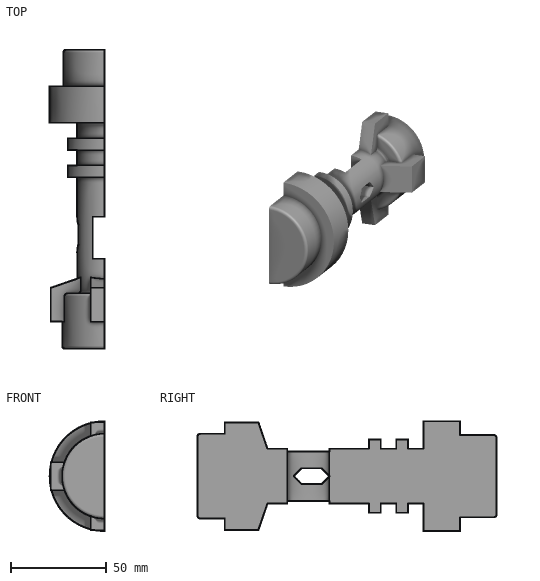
import cadquery as cq
import math

LENGTH = 156.8
EDGE_ROUND = 1.5

SHAFT_RADIUS = 14.5
HEAD_RADIUS = 22.3
HEAD_LENGTH = 29.0

END_RADIUS = 21.6
FLANGE_RADIUS = 28.9
FLANGE_WIDTH = 19.3
FLANGE_FRONT = 118.4

RING_RADIUS = 19.3
RING_WIDTH = 6.3
RING_FRONTS = (89.8, 104.1)

ARM_WIDTH = 14.6
ARM_REACH = 28.2
ARM_ROOT_RADIUS = 11.0
ARM_FRONT = 14.3
ARM_SHOULDER = 32.0
ARM_REAR = 38.0

SLOT_DEPTH = 6.1
SLOT_FRONT = 47.2
SLOT_REAR = 69.1

WINDOW_FRONT = 50.5
WINDOW_REAR = SLOT_REAR
WINDOW_HEIGHT = 8.2
WINDOW_TIP = 4.0


def disc(radius, front, length):
    """Cylinder on the Y axis, starting at Y = front."""
    return cq.Workplane("XZ", origin=(0, front, 0)).circle(radius).extrude(-length)


def make_root_round():
    """Collar with a concave outside, blending the shaft into the back of the head."""
    collar_rear = HEAD_LENGTH + EDGE_ROUND
    collar_radius = SHAFT_RADIUS + EDGE_ROUND
    arc_offset = EDGE_ROUND * (1 - math.sqrt(0.5))
    return (
        cq.Workplane("XY")
        .moveTo(0, HEAD_LENGTH)
        .lineTo(-collar_radius, HEAD_LENGTH)
        .threePointArc(
            (-SHAFT_RADIUS - arc_offset, HEAD_LENGTH + arc_offset),
            (-SHAFT_RADIUS, collar_rear),
        )
        .lineTo(0, collar_rear)
        .close()
        .revolve(360, (0, 0, 0), (0, 1, 0))
    )


def make_turned_body():
    shaft = disc(SHAFT_RADIUS, 0, LENGTH)
    head = disc(HEAD_RADIUS, 0, HEAD_LENGTH).edges("%CIRCLE").fillet(EDGE_ROUND)
    end = disc(END_RADIUS, FLANGE_FRONT, LENGTH - FLANGE_FRONT).faces(">Y").edges().fillet(EDGE_ROUND)
    body = shaft.union(head).union(end)
    body = body.union(make_root_round())
    body = body.union(disc(FLANGE_RADIUS, FLANGE_FRONT, FLANGE_WIDTH))
    for ring_front in RING_FRONTS:
        body = body.union(disc(RING_RADIUS, ring_front, RING_WIDTH))
    return body


def make_arm(angle):
    """Arm clasping the head, pointing to -X and then turned about the Y axis."""
    outline = [
        (-ARM_ROOT_RADIUS, ARM_FRONT),
        (-ARM_REACH, ARM_FRONT),
        (-ARM_REACH, ARM_SHOULDER),
        (-ARM_ROOT_RADIUS, ARM_REAR),
    ]
    arm = cq.Workplane("XY").polyline(outline).close().extrude(ARM_WIDTH / 2, both=True)
    return arm.rotate((0, 0, 0), (0, 1, 0), angle)


def make_slot():
    """Notch across the flat face, through the full height of the shaft."""
    return cq.Workplane("XY").box(
        2 * SLOT_DEPTH, SLOT_REAR - SLOT_FRONT, 2 * FLANGE_RADIUS
    ).translate((0, (SLOT_FRONT + SLOT_REAR) / 2, 0))


def make_window():
    """Six-sided opening through the shaft along X."""
    half_height = WINDOW_HEIGHT / 2
    outline = [
        (WINDOW_FRONT, 0),
        (WINDOW_FRONT + WINDOW_TIP, half_height),
        (WINDOW_REAR - WINDOW_TIP, half_height),
        (WINDOW_REAR, 0),
        (WINDOW_REAR - WINDOW_TIP, -half_height),
        (WINDOW_FRONT + WINDOW_TIP, -half_height),
    ]
    return cq.Workplane("YZ").polyline(outline).close().extrude(FLANGE_RADIUS, both=True)


def make_kept_half():
    """Block covering the -X side of the axis."""
    return cq.Workplane("XY").box(
        2 * FLANGE_RADIUS, LENGTH, 2 * FLANGE_RADIUS
    ).translate((-FLANGE_RADIUS, LENGTH / 2, 0))


body = make_turned_body()
for arm_angle in (-90, 0, 90):
    body = body.union(make_arm(arm_angle))
result = body.intersect(make_kept_half()).cut(make_slot()).cut(make_window())